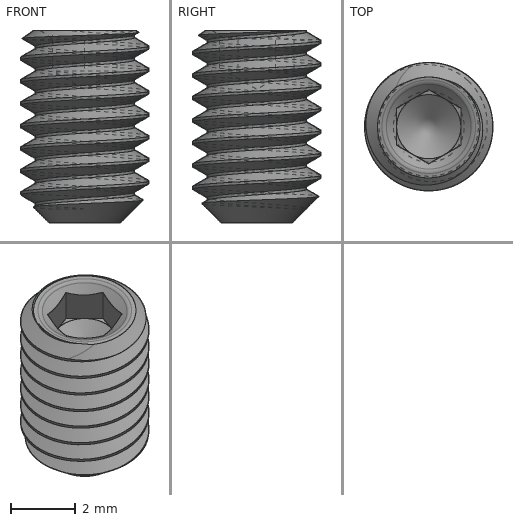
import cadquery as cq
import math

LENGTH = 6.0
MAJOR_RADIUS = 4.0 / 2
PITCH = LENGTH * 7 / 60
SHARP_THREAD_HEIGHT = PITCH * math.sqrt(3) / 2
ROOT_RADIUS = MAJOR_RADIUS - 0.75 * SHARP_THREAD_HEIGHT
CREST_WIDTH = PITCH / 8
ROOT_FLAT = PITCH / 8
CREST_HEIGHT = 0.57
THREAD_OVERLAP = 0.05
RUNOUT_TURNS = 2
THREAD_TURNS = 11

POINT_RADIUS = 1.105
POINT_ANGLE = 45.0
RIM_RADIUS = 1.595
TOP_CHAMFER_ANGLE = 35.0
TRIM_RADIUS = MAJOR_RADIUS + 0.3

ACROSS_FLATS = LENGTH / 3
ACROSS_CORNERS = ACROSS_FLATS * 2 / math.sqrt(3)
SOCKET_FLOOR = 4.74
DRILL_ANGLE = 120.0
MOUTH_RADIUS = 1.46
LIP_RADIUS = 0.24
COUNTERSINK_SLOPE = math.radians(35.0)


def envelope():
    """Space between the conical point and the chamfered top, wider than the thread."""
    point_height = (TRIM_RADIUS - POINT_RADIUS) * math.tan(math.radians(POINT_ANGLE))
    chamfer_drop = (TRIM_RADIUS - RIM_RADIUS) * math.tan(math.radians(TOP_CHAMFER_ANGLE))
    return (
        cq.Workplane("XZ")
        .lineTo(POINT_RADIUS, 0)
        .lineTo(TRIM_RADIUS, point_height)
        .lineTo(TRIM_RADIUS, LENGTH - chamfer_drop)
        .lineTo(RIM_RADIUS, LENGTH)
        .lineTo(0, LENGTH)
        .close()
        .revolve()
    )


def thread_ridge():
    """Helical ridge running past both ends of the screw."""
    start = CREST_HEIGHT - RUNOUT_TURNS * PITCH
    base_radius = ROOT_RADIUS - THREAD_OVERLAP
    half_base = (PITCH - ROOT_FLAT) / 2 + THREAD_OVERLAP / math.sqrt(3)
    half_crest = CREST_WIDTH / 2
    helix = cq.Wire.makeHelix(PITCH, THREAD_TURNS * PITCH, ROOT_RADIUS, cq.Vector(0, 0, start))
    return (
        cq.Workplane("XZ")
        .polyline([
            (base_radius, start - half_base),
            (MAJOR_RADIUS, start - half_crest),
            (MAJOR_RADIUS, start + half_crest),
            (base_radius, start + half_base),
        ])
        .close()
        .sweep(cq.Workplane(helix), isFrenet=True)
    )


def hex_socket():
    """Hexagonal recess, corners along Y, ending in a drill cone."""
    hexagon = (
        cq.Workplane("XY", origin=(0, 0, SOCKET_FLOOR))
        .transformed(rotate=(0, 0, 90))
        .polygon(6, ACROSS_CORNERS)
        .extrude(LENGTH - SOCKET_FLOOR)
    )
    drill_radius = ACROSS_FLATS / 2
    drill_depth = drill_radius / math.tan(math.radians(DRILL_ANGLE / 2))
    drill_tip = (
        cq.Workplane("XZ", origin=(0, 0, SOCKET_FLOOR))
        .lineTo(drill_radius, 0)
        .lineTo(0, -drill_depth)
        .close()
        .revolve()
    )
    return hexagon.union(drill_tip)


def countersink():
    """Conical mouth that blends into the top face over a rounded lip."""
    def lip_point(angle):
        return (
            MOUTH_RADIUS - LIP_RADIUS * math.sin(angle),
            LENGTH - LIP_RADIUS * (1 - math.cos(angle)),
        )

    lip_end_radius, lip_end_height = lip_point(COUNTERSINK_SLOPE)
    tip_height = lip_end_height - lip_end_radius * math.tan(COUNTERSINK_SLOPE)
    return (
        cq.Workplane("XZ")
        .moveTo(0, tip_height)
        .lineTo(lip_end_radius, lip_end_height)
        .threePointArc(lip_point(COUNTERSINK_SLOPE / 2), (MOUTH_RADIUS, LENGTH))
        .lineTo(0, LENGTH)
        .close()
        .revolve()
    )


core = cq.Workplane("XY").circle(ROOT_RADIUS).extrude(LENGTH)
pointed_core = core.intersect(envelope())
trimmed_ridge = thread_ridge().intersect(envelope())
result = pointed_core.union(trimmed_ridge).cut(hex_socket()).cut(countersink())